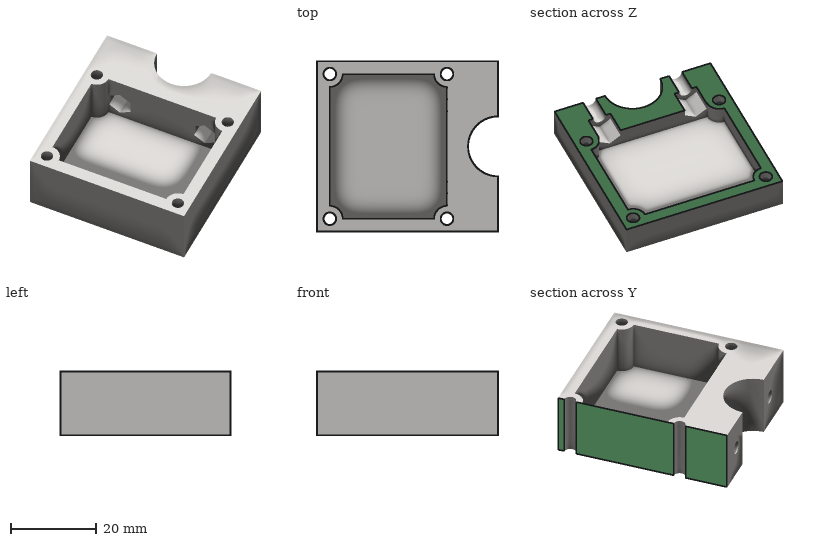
import cadquery as cq
import math

length = 42.5
width = 40.0
height = 15.0

wall = 3.0
floor = 3.0
cavity_length = 27.5
cavity_width = width - 2 * wall
cavity_depth = height - floor
cavity_center_x = wall + cavity_length / 2

post_radius = wall
screw_hole_diameter = 2.9

notch_radius = 7.0

nut_across_flats = 5.52
nut_pocket_depth = 6.0
bolt_hole_diameter = 3.2
bolt_spacing = 22.0

cavity_end_x = wall + cavity_length
thick_wall = length - cavity_end_x
corner_points = [
    (cavity_center_x + side_x * cavity_length / 2, side_y * cavity_width / 2)
    for side_x in (-1, 1)
    for side_y in (-1, 1)
]


def make_block():
    return cq.Workplane("XY").box(length, width, height, centered=(False, True, False))


def make_cavity():
    """Rectangular pocket with a round post left standing at each corner."""
    pocket = (
        cq.Workplane("XY", origin=(cavity_center_x, 0, floor))
        .rect(cavity_length, cavity_width)
        .extrude(cavity_depth)
    )
    posts = (
        cq.Workplane("XY", origin=(0, 0, floor))
        .pushPoints(corner_points)
        .circle(post_radius)
        .extrude(cavity_depth)
    )
    return pocket.cut(posts)


def make_screw_holes():
    return (
        cq.Workplane("XY")
        .pushPoints(corner_points)
        .circle(screw_hole_diameter / 2)
        .extrude(height)
    )


def make_notch():
    return cq.Workplane("XY").center(length, 0).circle(notch_radius).extrude(height)


def make_bolt_passage(y):
    """Hexagonal nut pocket opening into the cavity, then a round hole out to +X."""
    across_corners = nut_across_flats / math.cos(math.pi / 6)
    start = cq.Workplane("YZ", origin=(cavity_end_x, y, height / 2))
    hexagon = (
        start.transformed(rotate=(0, 0, 90))
        .polygon(6, across_corners)
        .extrude(nut_pocket_depth)
    )
    bolt_hole = start.circle(bolt_hole_diameter / 2).extrude(thick_wall)
    return hexagon.union(bolt_hole)


result = make_block().cut(make_cavity()).cut(make_screw_holes()).cut(make_notch())
for side in (-1, 1):
    result = result.cut(make_bolt_passage(side * bolt_spacing / 2))